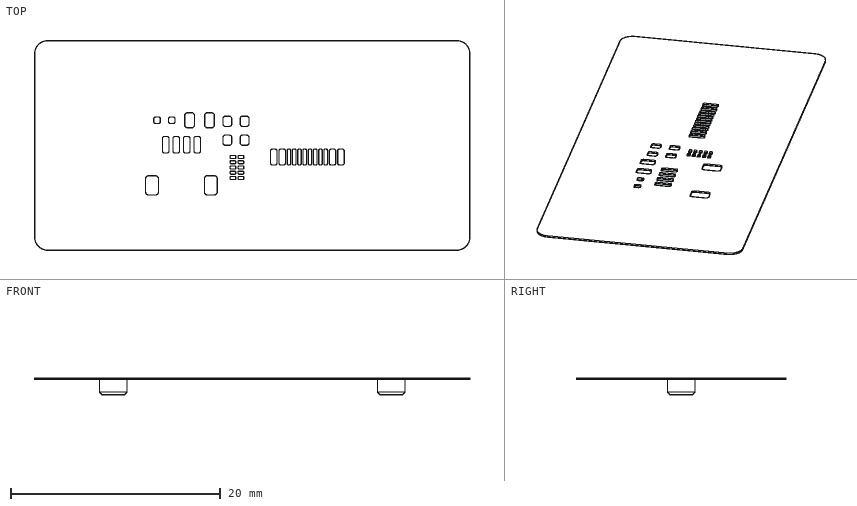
import cadquery as cq

plate_length = 41.5
plate_width = 20.0
plate_thickness = 0.16
plate_corner_radius = 1.27

total_height = 1.6
pin_diameter = 2.65
pin_spacing = 26.5
pin_chamfer = 0.25
pin_length = total_height - plate_thickness

corner_ratio = 0.25
corner_radius_limit = 0.25

connector_x = -6.75
contact_row_y = 0.07
contact_count = 4
contact_pitch = 1.0
contact_size = (0.6, 1.55)
anchor_spacing = 5.6
anchor_drop = 3.875
anchor_size = (1.2, 1.8)

small_pair_center = (-8.37, 2.4)
small_pair_spacing = 1.4
small_pair_size = (0.6, 0.6)

large_pair_center = (-5.025, 2.4)
large_pair_spacing = 1.9
large_pair_size = (0.9, 1.4)

medium_pair_x = -1.55
medium_pair_rows_y = (2.3, 0.5)
medium_pair_spacing = 1.65
medium_pair_size = (0.8, 0.95)

chip_center = (-1.46, -2.1)
chip_columns = 2
chip_rows = 5
chip_column_pitch = 0.76
chip_row_pitch = 0.5
chip_opening_size = (0.52, 0.26)

socket_center = (5.25, -1.105)
socket_contact_length = 1.487
fine_count = 8
fine_pitch = 0.5
fine_width = 0.3
wide_offsets = (2.4, 3.2)
wide_width = 0.6


def make_plate():
    plate = cq.Workplane("XY").box(
        plate_length, plate_width, plate_thickness, centered=(True, True, False)
    )
    return plate.edges("|Z").fillet(plate_corner_radius)


def make_pins():
    pins = (
        cq.Workplane("XY")
        .pushPoints([(-pin_spacing / 2, 0), (pin_spacing / 2, 0)])
        .circle(pin_diameter / 2)
        .extrude(-pin_length)
    )
    return pins.faces("<Z").chamfer(pin_chamfer)


def grid(center, columns, rows, column_pitch, row_pitch):
    """Points of a rectangular grid around a centre."""
    return [
        (
            center[0] + (column - (columns - 1) / 2) * column_pitch,
            center[1] + (row - (rows - 1) / 2) * row_pitch,
        )
        for column in range(columns)
        for row in range(rows)
    ]


def row_of(center, count, pitch):
    return grid(center, count, 1, pitch, 0)


def cut_openings(body, points, size):
    """Cut a round-cornered opening through the plate at each point."""
    radius = min(corner_ratio * min(size), corner_radius_limit)
    cutters = (
        cq.Workplane("XY")
        .pushPoints(points)
        .rect(*size)
        .extrude(plate_thickness)
        .edges("|Z")
        .fillet(radius)
    )
    return body.cut(cutters)


def cut_connector(body):
    contacts = row_of((connector_x, contact_row_y), contact_count, contact_pitch)
    anchors = row_of((connector_x, contact_row_y - anchor_drop), 2, anchor_spacing)
    body = cut_openings(body, contacts, contact_size)
    return cut_openings(body, anchors, anchor_size)


def cut_component_pairs(body):
    small_pair = row_of(small_pair_center, 2, small_pair_spacing)
    large_pair = row_of(large_pair_center, 2, large_pair_spacing)
    body = cut_openings(body, small_pair, small_pair_size)
    body = cut_openings(body, large_pair, large_pair_size)
    for row_y in medium_pair_rows_y:
        medium_pair = row_of((medium_pair_x, row_y), 2, medium_pair_spacing)
        body = cut_openings(body, medium_pair, medium_pair_size)
    return body


def cut_chip(body):
    openings = grid(chip_center, chip_columns, chip_rows, chip_column_pitch, chip_row_pitch)
    return cut_openings(body, openings, chip_opening_size)


def cut_socket(body):
    fine_contacts = row_of(socket_center, fine_count, fine_pitch)
    body = cut_openings(body, fine_contacts, (fine_width, socket_contact_length))
    for offset in wide_offsets:
        wide_contacts = row_of(socket_center, 2, 2 * offset)
        body = cut_openings(body, wide_contacts, (wide_width, socket_contact_length))
    return body


plate = make_plate()
plate = cut_connector(plate)
plate = cut_component_pairs(plate)
plate = cut_chip(plate)
plate = cut_socket(plate)

result = plate.union(make_pins())